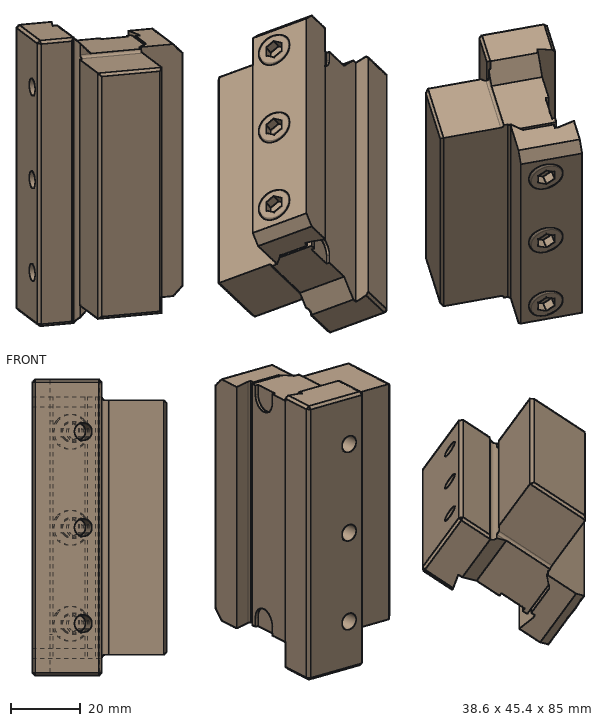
import cadquery as cq
import math


block_length = 85.0
block_width = 20.0
block_depth = 11.0
block_chamfer = 0.85
dovetail_rise = 1.4
seat_x = 5.0

web_length = 75.0
web_top_y = 33.7
web_bevel_end_x = 18.8
flare_run = (block_length - web_length) / 2

shank_length = 73.1
shank_end_x = 38.6
shank_front_y = 11.9
shank_back_y = 31.3
shank_chamfer = 0.85
shoulder_fillet = (web_length - shank_length) / 2
relief_radius = 1.45
relief_x = 20.6
relief_y = 11.4

pocket_width = 8.1
pocket_length = 6.9
pocket_depth = 0.9
pocket_y = 28.05

jaw_width = 18.1
jaw_back_y = 44.5
jaw_tip_y = 34.3
jaw_groove_x = 5.95
jaw_groove_y = jaw_tip_y + dovetail_rise
jaw_front_y = 34.4
jaw_bevel_x = 15.05
jaw_chamfer = 2.9
jaw_bevel_end_y = jaw_front_y - (jaw_width - jaw_bevel_x)

screw_pitch = 27.5
screw_count = 3
screw_tilt = math.radians(5)
screw_x = 14.6
screw_end = 21.25
screw_top = 45.2
shaft_diameter = 6.0
head_diameter = 10.0
head_height = 6.0
head_fillet = 0.3
socket_flats = 5.0
socket_depth = 3.0
socket_turn = 30
hole_diameter = 5.0
cut_margin = 2.55

screw_heights = [(i - (screw_count - 1) / 2) * screw_pitch for i in range(screw_count)]


def prism(points, length):
    """Extrude an XY outline along Z, centred on Z = 0."""
    return cq.Workplane("XY").polyline(points).close().extrude(length / 2, both=True)


def screw_plane(z, distance):
    """Plane square to the tilted screw axis, at a distance along it."""
    x_axis = (math.cos(screw_tilt), math.sin(screw_tilt), 0)
    normal = (-math.sin(screw_tilt), math.cos(screw_tilt), 0)
    origin = (screw_x + distance * normal[0], distance * normal[1], z)
    return cq.Workplane(cq.Plane(origin, x_axis, normal))


def rod(z, start, end, diameter):
    """Cylinder on the screw axis between two distances."""
    return screw_plane(z, start).circle(diameter / 2).extrude(end - start)


def make_block():
    """Chamfered bar whose back face slopes down to the foot of the web."""
    bar = cq.Workplane("XY").box(block_width, block_depth, block_length, centered=(False, False, True))
    bar = bar.edges("<Y or >X or (<X and (>Z or <Z))").chamfer(block_chamfer)
    undercut = [
        (0, block_depth),
        (seat_x, block_depth),
        (seat_x, block_depth - dovetail_rise),
    ]
    return bar.cut(prism(undercut, block_length))


def make_web():
    """Web that narrows from the block length and carries a stepped 45 degree bevel for the jaw."""
    outline = [
        (seat_x, block_depth),
        (seat_x, web_top_y),
        (jaw_bevel_x + jaw_front_y - web_top_y, web_top_y),
        (jaw_width, jaw_bevel_end_y),
        (jaw_width, shank_back_y + web_bevel_end_x - jaw_width),
        (web_bevel_end_x, shank_back_y),
        (block_width, shank_back_y),
        (block_width, block_depth),
    ]
    side_profile = [
        (block_depth, block_length / 2),
        (block_depth + flare_run, web_length / 2),
        (web_top_y, web_length / 2),
        (web_top_y, -web_length / 2),
        (block_depth + flare_run, -web_length / 2),
        (block_depth, -block_length / 2),
    ]
    side = cq.Workplane("YZ").polyline(side_profile).close().extrude(block_width)
    return prism(outline, block_length).intersect(side)


def make_shank():
    """Square shank with filleted shoulders at the web and a chamfered free end."""
    fillet_end_x = block_width + shoulder_fillet
    shank_end_z = shank_length / 2
    fillet_mid = (
        fillet_end_x - shoulder_fillet * math.sqrt(0.5),
        shank_end_z + shoulder_fillet * (1 - math.sqrt(0.5)),
    )
    outline = (
        cq.Workplane("XZ", origin=(0, shank_front_y, 0))
        .moveTo(block_width, web_length / 2)
        .threePointArc(fillet_mid, (fillet_end_x, shank_end_z))
        .lineTo(shank_end_x, shank_end_z)
        .lineTo(shank_end_x, -shank_end_z)
        .lineTo(fillet_end_x, -shank_end_z)
        .threePointArc((fillet_mid[0], -fillet_mid[1]), (block_width, -web_length / 2))
        .close()
    )
    shank = outline.extrude(shank_front_y - shank_back_y)
    return shank.faces(">X").chamfer(shank_chamfer)


def make_relief():
    """Round undercut along the inner corner between the block and the shank."""
    return cq.Workplane("XY").center(relief_x, relief_y).circle(relief_radius).extrude(block_length / 2, both=True)


def make_pocket(end):
    """Round-ended recess in the seat, open at the upper (+1) or lower (-1) end of the web."""
    radius = pocket_width / 2
    open_z = end * web_length / 2
    straight_z = open_z - end * (pocket_length - radius)
    return (
        cq.Workplane("YZ", origin=(seat_x, 0, 0))
        .moveTo(pocket_y - radius, open_z)
        .lineTo(pocket_y - radius, straight_z)
        .threePointArc((pocket_y, straight_z - end * radius), (pocket_y + radius, straight_z))
        .lineTo(pocket_y + radius, open_z)
        .close()
        .extrude(pocket_depth)
    )


def make_shaft(z):
    """Screw shaft from its tip to the underside of the head."""
    return rod(z, screw_end, screw_top - head_height, shaft_diameter)


def make_screw(z):
    """Socket head screw on the tilted axis."""
    socket_diameter = socket_flats / math.cos(math.pi / 6)
    socket = (
        screw_plane(z, screw_top - socket_depth)
        .transformed(rotate=(0, 0, socket_turn))
        .polygon(6, socket_diameter)
        .extrude(socket_depth)
    )
    head = rod(z, screw_top - head_height, screw_top, head_diameter)
    head = head.edges(">Y").fillet(head_fillet)
    return make_shaft(z).union(head).cut(socket)


def make_holder():
    """Block, web and shank in one piece, with its relief, pockets and screw holes."""
    holder = make_web().union(make_shank()).cut(make_relief()).union(make_block())
    for end in (1, -1):
        holder = holder.cut(make_pocket(end))
    for z in screw_heights:
        holder = holder.cut(rod(z, -cut_margin, screw_end, hole_diameter)).cut(make_shaft(z))
    return holder


def make_jaw():
    """Clamp jaw with a dovetail tip, an inner bevel and counterbored screw holes."""
    outline = [
        (0, jaw_tip_y),
        (seat_x, jaw_groove_y),
        (jaw_groove_x, jaw_groove_y),
        (jaw_groove_x, jaw_front_y),
        (jaw_bevel_x, jaw_front_y),
        (jaw_width, jaw_bevel_end_y),
        (jaw_width, jaw_back_y),
        (0, jaw_back_y),
    ]
    jaw = prism(outline, web_length)
    jaw = jaw.edges(">Y and (>Z or <Z)").chamfer(jaw_chamfer)
    for z in screw_heights:
        counterbore = rod(z, screw_top - head_height, screw_top + cut_margin, head_diameter)
        jaw = jaw.cut(make_shaft(z)).cut(counterbore)
    return jaw


holder = make_holder()
jaw = make_jaw()
screws = [make_screw(z) for z in screw_heights]

result = cq.Compound.makeCompound([holder.val(), jaw.val(), *[screw.val() for screw in screws]])